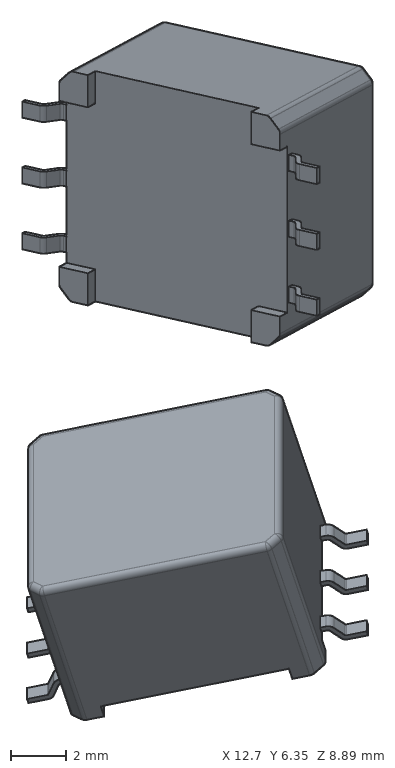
import cadquery as cq
import math

span_x = 12.7
size_y = 6.35
size_z = 8.89
seat_y = -size_y / 2

housing_x = 9.52
corner_chamfer = 0.5
edge_fillet = 0.25
pad_size = 1.25
pad_height = 0.5

leads_per_side = 3
lead_pitch = 2.54
lead_width = 0.62
lead_thickness = 0.2
lead_rise = 0.6
foot_length = 0.76
bend_angle = math.radians(55)
foot_bend_radius = 0.15
shoulder_bend_radius = 0.23


def make_housing():
    """Block with chamfered corners, rounded edges and four standoff pads."""
    block = cq.Workplane("XY").box(housing_x, size_y, size_z)
    block = block.edges("|Y").chamfer(corner_chamfer)
    block = block.edges("|Y").fillet(edge_fillet)
    block = block.faces(">Y").edges().fillet(edge_fillet)

    recess_y = seat_y + pad_height / 2
    long_way = cq.Workplane("XY").box(housing_x, pad_height, size_z - 2 * pad_size)
    tall_way = cq.Workplane("XY").box(housing_x - 2 * pad_size, pad_height, size_z)
    recess = long_way.union(tall_way).translate((0, recess_y, 0))
    return block.cut(recess)


def bend_arc(path, start, radius, side):
    """Add an arc between the level and sloping runs; side is +1 at the foot, -1 at the shoulder.

    The start point is where the arc begins, and the lead climbs toward +X.
    """
    if side > 0:
        first_angle = 0.0
        last_angle = bend_angle
    else:
        first_angle = bend_angle
        last_angle = 0.0

    def point_at(angle):
        return (
            start[0] + side * radius * (math.sin(angle) - math.sin(first_angle)),
            start[1] + side * radius * (math.cos(first_angle) - math.cos(angle)),
        )

    end = point_at(last_angle)
    return path.threePointArc(point_at(bend_angle / 2), end), end


def make_left_lead():
    """Gull-wing strip on the -X side, from the foot tip to the housing wall."""
    tip = (-span_x / 2, seat_y + lead_thickness / 2)
    foot_end = (tip[0] + foot_length, tip[1])
    bends_rise = (foot_bend_radius + shoulder_bend_radius) * (1 - math.cos(bend_angle))
    slope_rise = lead_rise - bends_rise
    slope_run = slope_rise / math.tan(bend_angle)

    path = cq.Workplane("XY").moveTo(*tip).lineTo(*foot_end)
    path, slope_start = bend_arc(path, foot_end, foot_bend_radius, 1)
    slope_end = (slope_start[0] + slope_run, slope_start[1] + slope_rise)
    path = path.lineTo(*slope_end)
    path, shoulder_start = bend_arc(path, slope_end, shoulder_bend_radius, -1)
    path = path.lineTo(-housing_x / 2, shoulder_start[1])

    section = cq.Workplane("YZ", origin=(tip[0], tip[1], 0)).rect(lead_thickness, lead_width)
    return section.sweep(path)


housing = make_housing()

left_lead = make_left_lead()
right_lead = left_lead.mirror("YZ")
leads = []
for index in range(leads_per_side):
    lead_z = (index - (leads_per_side - 1) / 2) * lead_pitch
    for lead in (left_lead, right_lead):
        leads.append(lead.translate((0, 0, lead_z)).val())

result = cq.Compound.makeCompound([housing.val(), *leads])